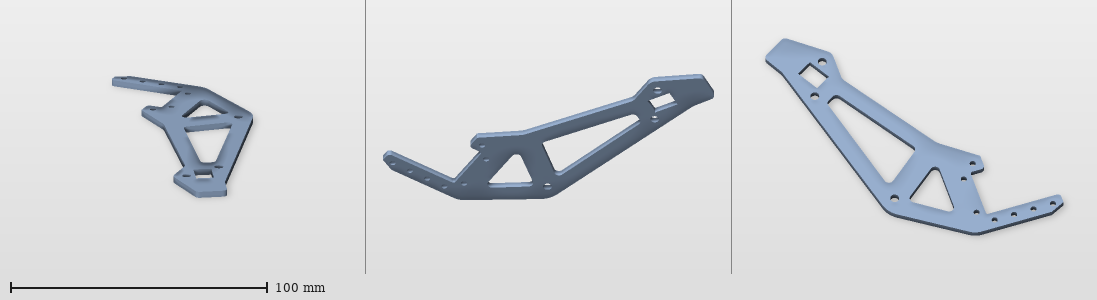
import cadquery as cq

thickness = 2.5
plate_height = 107.6

arm_width = 6.9
arm_bottom = plate_height - arm_width
notch_right = 30.2
notch_bottom = 80.6
lug_left = 24.2

small_diameter = 2.4
large_diameter = 3.4
hole_pitch = 8.0
arm_hole_count = 4
first_arm_hole = (4.1, 104.2)
notch_hole_x = 33.6
upper_notch_hole_y = 98.7
lug_hole = (28.1, 77.1)
large_holes = [(61.9, 82.6), (76.8, 28.7), (69.2, 14.7)]

window_center = (74.4, 19.5)
window_width = 7.0
window_length = 9.9
window_angle = 30.0

opening_radius = 1.9
upper_opening = [(41.1, 96.8), (57.7, 85.1), (41.1, 71.7)]
lower_opening = [(46.6, 63.8), (62.3, 76.8), (73.5, 32.9), (68.6, 30.1)]

foot_left = 64.3
outline = [
    ((0.0, 104.8), 0),
    ((5.7, plate_height), 0),
    ((36.9, plate_height), 8.0),
    ((66.4, 87.8), 10.0),
    ((85.5, 14.4), 8.0),
    ((90.3, 5.8), 1.9),
    ((80.1, -0.4), 1.9),
    ((foot_left, 12.0), 4.0),
    ((foot_left, 24.6), 4.0),
    ((38.4, 63.7), 8.0),
    ((lug_left, 74.7), 0),
    ((lug_left, notch_bottom), 1.5),
    ((notch_right, notch_bottom), 0.8),
    ((notch_right, arm_bottom), 0.8),
    ((0.0, arm_bottom), 1.5),
]


def extrude_polygon(points):
    return cq.Workplane("XY").polyline(points).close().extrude(thickness)


def round_corner(body, corner, radius):
    """Round the upright edge that stands on the given corner."""
    x, y = corner
    corner_edge = cq.selectors.NearestToPointSelector((x, y, thickness / 2))
    return body.edges("|Z").edges(corner_edge).fillet(radius)


def make_blank():
    blank = extrude_polygon([corner for corner, radius in outline])
    for corner, radius in outline:
        if radius > 0:
            blank = round_corner(blank, corner, radius)
    return blank


def make_opening(corners):
    return extrude_polygon(corners).edges("|Z").fillet(opening_radius)


def make_holes(centers, diameter):
    return cq.Workplane("XY").pushPoints(centers).circle(diameter / 2).extrude(thickness)


def make_window():
    return (
        cq.Workplane("XY")
        .center(*window_center)
        .transformed(rotate=(0, 0, window_angle))
        .rect(window_width, window_length)
        .extrude(thickness)
    )


first_x, arm_hole_y = first_arm_hole
small_holes = [(first_x + i * hole_pitch, arm_hole_y) for i in range(arm_hole_count)]
small_holes += [
    (notch_hole_x, upper_notch_hole_y),
    (notch_hole_x, upper_notch_hole_y - 2 * hole_pitch),
    lug_hole,
]

result = (
    make_blank()
    .cut(make_opening(upper_opening))
    .cut(make_opening(lower_opening))
    .cut(make_holes(small_holes, small_diameter))
    .cut(make_holes(large_holes, large_diameter))
    .cut(make_window())
)